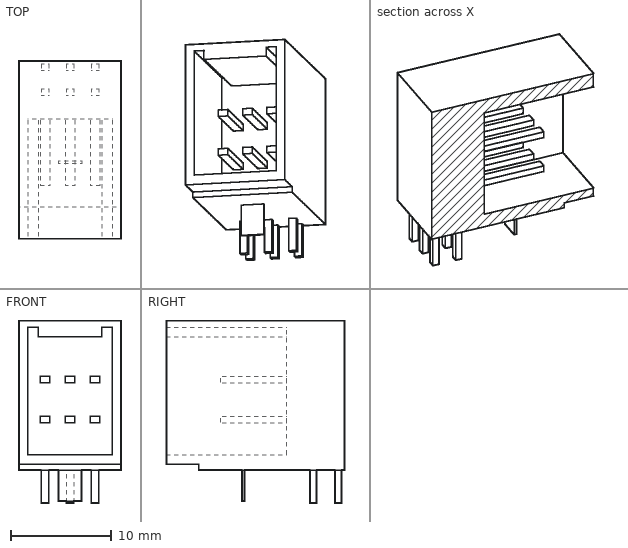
import cadquery as cq

width = 10.2
length = 17.8
overall_height = 18.25
leg_length = 3.3
height = overall_height - leg_length

relief_length = 3.21
relief_height = 0.57

side_wall = 0.9
roof_wall = 0.7
cavity_width = width - 2 * side_wall
cavity_height = 12.72
cavity_depth = 11.99
cavity_top = height - roof_wall
key_width = 6.37
key_drop = 0.91

pitch = 2.5
columns = (-pitch, 0, pitch)
pin_width = 0.99
pin_height = 0.65
pin_tip_setback = 5.38
pin_row_pitch = 3.98
upper_pin_drop = 5.91
upper_pin_z = height - upper_pin_drop
leg_width = 0.77
leg_thickness = 0.68
rear_leg_inset = 0.62
rear_leg_y = length - rear_leg_inset

tab_width = 2.3
tab_thickness = 0.27
tab_length = 3.1
tab_y = 7.68


def block(x_size, y_size, z_size, x_center, y_start, z_start):
    """Box centred on x_center, rising from y_start and z_start."""
    box = cq.Workplane("XY").box(x_size, y_size, z_size, centered=(True, False, False))
    return box.translate((x_center, y_start, z_start))


def make_housing():
    housing = block(width, length, height, 0, 0, 0)
    relief = block(width, relief_length, relief_height, 0, 0, 0)
    cavity = block(cavity_width, cavity_depth, cavity_height, 0, 0, cavity_top - cavity_height)
    key = block(key_width, cavity_depth, key_drop, 0, 0, cavity_top - key_drop)
    return housing.cut(relief).cut(cavity.cut(key))


def make_pin(x, z):
    pin_length = cavity_depth - pin_tip_setback
    return block(pin_width, pin_length, pin_height, x, pin_tip_setback, z - pin_height / 2)


def make_leg(x, y):
    return block(leg_width, leg_thickness, leg_length, x, y - leg_thickness / 2, -leg_length)


result = make_housing()
for x in columns:
    for z in (upper_pin_z, upper_pin_z - pin_row_pitch):
        result = result.union(make_pin(x, z))
    for y in (rear_leg_y, rear_leg_y - pitch):
        result = result.union(make_leg(x, y))

tab = block(tab_width, tab_thickness, tab_length, 0, tab_y - tab_thickness / 2, -tab_length)
result = result.union(tab)